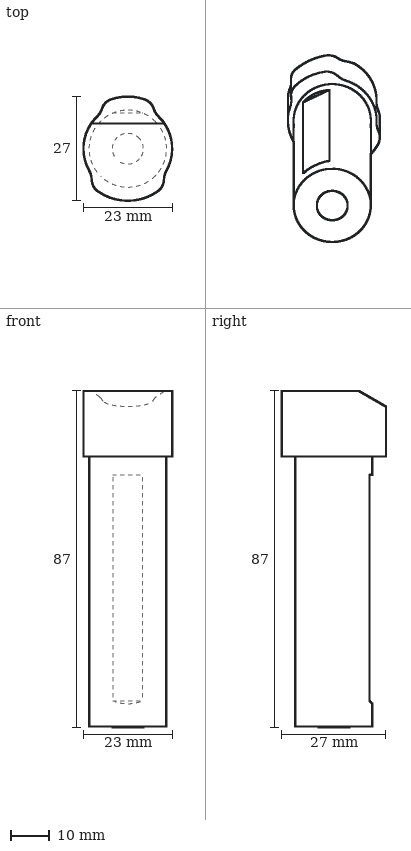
import cadquery as cq
import math

head_bottom = 70.0
head_height = 17.0
total_height = head_bottom + head_height

shaft_radius = 10.0
pad_diameter = 8.0
pad_height = 0.2

flat_depth = 0.75
flat_bottom = 6.1
flat_top = 65.3

core_radius = 11.5
lobe_radius = 13.5
corner_radius = 4.0
blend_radius = 5.0
front_half_angle = 34.5
back_half_angle = 18.0

slope_start_y = 6.5
slope_angle = 30.0


def on_ray(distance, angle):
    """Point at a distance from the axis, the angle measured from +Y towards +X."""
    return (distance * math.sin(angle), distance * math.cos(angle))


def lobe_points(half_angle):
    """Points down the +X side of a +Y lobe: tip, corner arc, blend arc, core circle.

    The corner arc is tangent inside the lobe circle, the blend arc is tangent
    outside the core circle, and the two arcs are tangent to each other.
    """
    corner_angle = math.radians(half_angle)
    corner_distance = lobe_radius - corner_radius
    blend_distance = core_radius + blend_radius
    centre_spacing = corner_radius + blend_radius
    cosine = (corner_distance**2 + blend_distance**2 - centre_spacing**2) / (
        2 * corner_distance * blend_distance
    )
    blend_angle = corner_angle + math.acos(cosine)

    corner = cq.Vector(*on_ray(corner_distance, corner_angle))
    blend = cq.Vector(*on_ray(blend_distance, blend_angle))
    to_blend = (blend - corner).normalized()
    lobe_end = cq.Vector(*on_ray(lobe_radius, corner_angle))
    core_end = cq.Vector(*on_ray(core_radius, blend_angle))
    inflection = corner + to_blend * corner_radius

    to_lobe_end = (lobe_end - corner).normalized()
    to_core_end = (core_end - blend).normalized()
    corner_mid = corner + (to_lobe_end + to_blend).normalized() * corner_radius
    blend_mid = blend + (to_core_end - to_blend).normalized() * blend_radius
    return [(p.x, p.y) for p in (lobe_end, corner_mid, inflection, blend_mid, core_end)]


def mirrored(points, x_sign, y_sign):
    return [(x_sign * x, y_sign * y) for x, y in points]


def make_head():
    back_right = lobe_points(back_half_angle)
    front = lobe_points(front_half_angle)
    front_right = mirrored(front, 1, -1)[::-1]
    front_left = mirrored(front, -1, -1)
    back_left = mirrored(back_right, -1, 1)[::-1]

    outline = cq.Workplane("XY").workplane(offset=head_bottom).moveTo(*back_right[0])
    sides = (
        (back_right, (core_radius, 0)),
        (front_right, (0, -lobe_radius)),
        (front_left, (-core_radius, 0)),
        (back_left, (0, lobe_radius)),
    )
    for index, (side, arc_middle) in enumerate(sides):
        following_side = sides[(index + 1) % len(sides)][0]
        outline = outline.threePointArc(side[1], side[2])
        outline = outline.threePointArc(side[3], side[4])
        outline = outline.threePointArc(arc_middle, following_side[0])
    return outline.close().extrude(head_height)


def make_slope_cut():
    run = lobe_radius - slope_start_y
    drop = run * math.tan(math.radians(slope_angle))
    return (
        cq.Workplane("YZ")
        .moveTo(slope_start_y, total_height)
        .lineTo(lobe_radius, total_height)
        .lineTo(lobe_radius, total_height - drop)
        .close()
        .extrude(core_radius, both=True)
    )


def make_shaft():
    pad = cq.Workplane("XY").circle(pad_diameter / 2).extrude(pad_height)
    shaft = (
        cq.Workplane("XY")
        .workplane(offset=pad_height)
        .circle(shaft_radius)
        .extrude(head_bottom - pad_height)
    )
    return shaft.union(pad)


def make_flat_cut():
    """Relief with a square shoulder at the top and a 45 degree run-out at the bottom."""
    flat_y = shaft_radius - flat_depth
    return (
        cq.Workplane("YZ")
        .moveTo(flat_y, flat_bottom + flat_depth)
        .lineTo(shaft_radius, flat_bottom)
        .lineTo(shaft_radius, flat_top)
        .lineTo(flat_y, flat_top)
        .close()
        .extrude(shaft_radius, both=True)
    )


shaft = make_shaft().cut(make_flat_cut())
head = make_head().cut(make_slope_cut())
result = shaft.union(head)